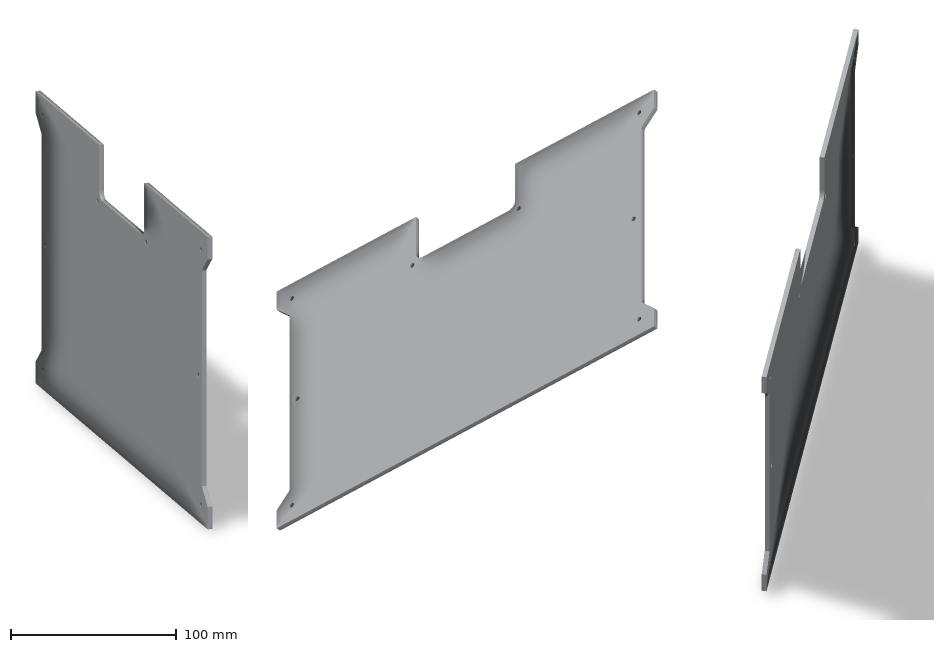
import cadquery as cq

width = 297.0
height = 186.0
thickness = 3.0

recess_depth = 10.0
ear_height = 14.3

notch_width = 77.8
notch_depth = 34.2
notch_radius = 5.0

hole_diameter = 3.3
corner_hole_inset = 12.0
side_hole_inset = 16.3
notch_hole_spacing = 83.8
notch_hole_drop = 36.5

half_width = width / 2
half_height = height / 2


def make_plate():
    return cq.Workplane("XZ").rect(width, height).extrude(thickness / 2, both=True)


def make_side_recess(side):
    """Trapezoid cutter for one side; side is -1 (left) or 1 (right)."""
    outer_x = side * half_width
    inner_x = side * (half_width - recess_depth)
    outer_z = half_height - ear_height
    inner_z = outer_z - recess_depth
    return (
        cq.Workplane("XZ")
        .polyline([(outer_x, outer_z), (inner_x, inner_z), (inner_x, -inner_z), (outer_x, -outer_z)])
        .close()
        .extrude(thickness, both=True)
    )


def make_notch():
    """Cutter for the top notch, rounded at its two bottom corners."""
    return (
        cq.Workplane("XZ")
        .center(0, half_height)
        .rect(notch_width, 2 * notch_depth)
        .extrude(thickness, both=True)
        .edges("|Y and <Z")
        .fillet(notch_radius)
    )


def make_holes():
    corner_x = half_width - corner_hole_inset
    corner_z = half_height - corner_hole_inset
    side_x = half_width - side_hole_inset
    notch_hole_z = half_height - notch_hole_drop
    points = []
    for side in (-1, 1):
        points.append((side * corner_x, corner_z))
        points.append((side * corner_x, -corner_z))
        points.append((side * side_x, 0))
        points.append((side * notch_hole_spacing / 2, notch_hole_z))
    return cq.Workplane("XZ").pushPoints(points).circle(hole_diameter / 2).extrude(thickness, both=True)


result = make_plate().cut(make_notch()).cut(make_holes())
for side in (-1, 1):
    result = result.cut(make_side_recess(side))